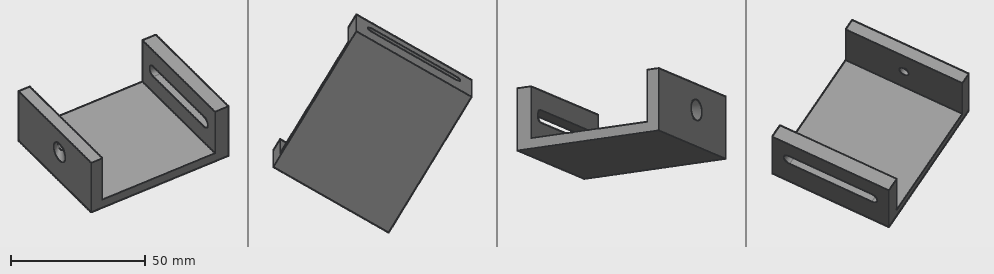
import cadquery as cq

length = 50.0
floor_thickness = 4.0
wall_height = 20.0
clear_width = 50.0
front_wall = 5.0
back_wall = 6.0
total_height = floor_thickness + wall_height
total_width = front_wall + clear_width + back_wall

opening_z = floor_thickness + wall_height / 2

slot_height = 4.8
slot_end_margin = 5.0
slot_length = length - 2 * slot_end_margin

bore_diameter = 4.0
bore_x = length / 2
mouth_diameter = 8.0
mouth_offset = 3.2
flare_depth = front_wall / 2


def make_channel():
    body = cq.Workplane("XY").box(length, total_width, total_height, centered=False)
    gap = (
        cq.Workplane("XY")
        .box(length, clear_width, wall_height, centered=False)
        .translate((0, front_wall, floor_thickness))
    )
    return body.cut(gap)


def make_slot():
    return (
        cq.Workplane("XZ", origin=(length / 2, total_width, opening_z))
        .slot2D(slot_length, slot_height)
        .extrude(back_wall)
    )


def make_flared_hole():
    bore = (
        cq.Workplane("XZ", origin=(bore_x, front_wall, opening_z))
        .circle(bore_diameter / 2)
        .extrude(front_wall - flare_depth)
    )
    flare = (
        cq.Workplane("XZ", origin=(bore_x, flare_depth, opening_z))
        .circle(bore_diameter / 2)
        .workplane(offset=flare_depth)
        .center(mouth_offset, 0)
        .circle(mouth_diameter / 2)
        .loft(ruled=True)
    )
    return bore.union(flare)


result = make_channel().cut(make_slot()).cut(make_flared_hole())